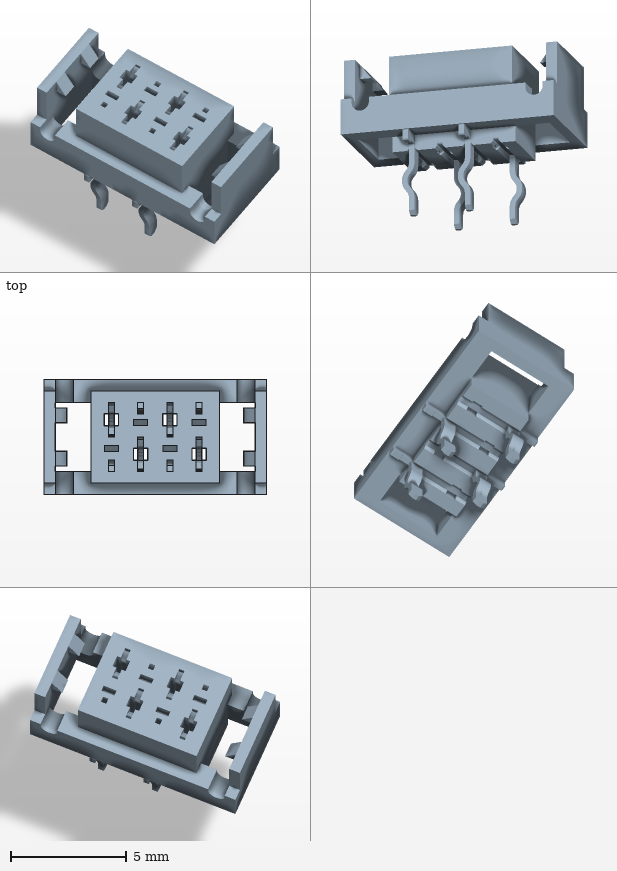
import cadquery as cq
import math

column_pitch = 1.27
column_count = 4

housing_length = 9.68
base_width = 5.0
base_height = 1.6
housing_top = 3.5
tower_length = 5.595
tower_width = 3.99
arm_thickness = 0.5
foot_block_width = 2.99
foot_block_depth = 0.7

relief_width = 0.78
relief_floor = 1.01
relief_radius = relief_width / 2

hook_reach = 0.5
hook_height = 0.66
hook_width = 0.65
hook_center_y = 0.94

entry_length = 0.61
entry_width = 0.5
dummy_width = 0.25
dummy_depth = 0.5
dummy_center_y = 0.5
turned_dummy_center_y = 0.63
slot_mouth_chamfer = 0.12

plate_thickness = 0.25
plate_end = foot_block_width / 2
strip_depth = 0.5
strip_end_fillet = 0.09

fork_center = plate_end / 2
fork_gap = 0.74
fork_floor = 0.97
fork_floor_fillet = 0.29
fork_lip_gap = 0.53
fork_lip_height = 0.29
fork_mouth = 0.66
fork_lead_in_drop = 0.34
fork_tip_width = 0.11
fork_tip_drop = 0.83

leg_width = 0.5
leg_tip_width = leg_width / 2
leg_tip_drop = 0.94

foot_length = 0.46
foot_top_fillet = 0.09
notch_depth = 0.09
notch_fillet = 0.05

tail_center_y = 1.26
tail_width = 0.57
tail_tip_chamfer = 0.18
tail_bottom = 3.59
wave_top = 1.26
wave_half_height = 0.79
wave_bulge = 0.32


def box(x_range, y_range, z_range):
    """Box between the given limits along each axis."""
    (x0, x1), (y0, y1), (z0, z1) = x_range, y_range, z_range
    return cq.Workplane("XY").box(x1 - x0, y1 - y0, z1 - z0, centered=False).translate((x0, y0, z0))


def centered_box(length, width, z_range):
    """Box centred on the Z axis."""
    return box((-length / 2, length / 2), (-width / 2, width / 2), z_range)


def column_placements():
    """X position and rotation of each contact; every second one is turned half round."""
    first_x = -column_pitch * (column_count - 1) / 2
    return [(first_x + i * column_pitch, 180 * (i % 2)) for i in range(column_count)]


def place(shape, x, turn):
    """Turn a shape about the Z axis and move it to its column."""
    return shape.rotate((0, 0, 0), (0, 0, 1), turn).translate((x, 0, 0))


def latch_hook(side, y):
    """Wedge on the inner face of an arm, with its catch facing down."""
    root = side * (housing_length / 2 - arm_thickness)
    return (
        cq.Workplane("XZ", origin=(0, y + hook_width / 2, 0))
        .moveTo(root, housing_top)
        .lineTo(root - side * hook_reach, housing_top - hook_height)
        .lineTo(root, housing_top - hook_height)
        .close()
        .extrude(hook_width)
    )


def relief_slot(side):
    """Round-bottomed slot across the base beside an arm."""
    center_x = side * (housing_length / 2 - arm_thickness - relief_radius)
    center_z = relief_floor + relief_radius
    return (
        cq.Workplane("XZ", origin=(center_x, base_width / 2, 0))
        .moveTo(-relief_radius, base_height)
        .lineTo(-relief_radius, center_z)
        .threePointArc((0, relief_floor), (relief_radius, center_z))
        .lineTo(relief_radius, base_height)
        .close()
        .extrude(base_width)
    )


def contact_cavity(pocket_center_y):
    """Space cut for one contact: plate slots, blade entry, blind pocket and bottom slot."""
    half_plate = plate_thickness / 2
    plate_x = (-half_plate, half_plate)
    fork_slot = box(plate_x, (0, plate_end), (0, housing_top))
    leg_slot = box(plate_x, (-plate_end, leg_width - plate_end), (0, housing_top))
    blade_entry = centered_box(entry_length, entry_width, (-foot_block_depth, housing_top))
    dummy_pocket = centered_box(entry_length, dummy_width, (housing_top - dummy_depth, housing_top))
    half_mouth = half_plate + slot_mouth_chamfer
    bottom_slot = (
        cq.Workplane("XZ", origin=(0, foot_block_width / 2, 0))
        .moveTo(-half_plate, 0)
        .lineTo(-half_plate, slot_mouth_chamfer - foot_block_depth)
        .lineTo(-half_mouth, -foot_block_depth)
        .lineTo(half_mouth, -foot_block_depth)
        .lineTo(half_plate, slot_mouth_chamfer - foot_block_depth)
        .lineTo(half_plate, 0)
        .close()
        .extrude(foot_block_width)
    )
    return (
        fork_slot.union(leg_slot)
        .union(blade_entry.translate((0, fork_center, 0)))
        .union(dummy_pocket.translate((0, -pocket_center_y, 0)))
        .union(bottom_slot)
    )


def make_housing():
    """Base frame with a central tower and two latch arms, cut out for the contacts."""
    arm_inner_x = housing_length / 2 - arm_thickness
    body = centered_box(housing_length, base_width, (0, base_height))
    body = body.cut(centered_box(2 * arm_inner_x, foot_block_width, (0, base_height)))
    for side in (-1, 1):
        body = body.cut(relief_slot(side))
    body = body.union(centered_box(tower_length, tower_width, (0, housing_top)))
    body = body.union(centered_box(tower_length, foot_block_width, (-foot_block_depth, 0)))
    arm = centered_box(arm_thickness, tower_width, (0, housing_top))
    for side in (-1, 1):
        body = body.union(arm.translate((side * (arm_inner_x + arm_thickness / 2), 0, 0)))
        for y in (-hook_center_y, hook_center_y):
            body = body.union(latch_hook(side, y))
    for x, turn in column_placements():
        pocket_center_y = turned_dummy_center_y if turn else dummy_center_y
        body = body.cut(place(contact_cavity(pocket_center_y), x, turn))
    return body


def plate(sketch):
    """Thicken a closed YZ outline to the plate thickness, centred on X = 0."""
    return sketch.close().extrude(plate_thickness / 2, both=True)


def fork():
    """Two-armed fork with a rounded gap, sloping lead-ins and pointed tips."""
    blank = plate(
        cq.Workplane("YZ")
        .moveTo(0, -strip_depth)
        .lineTo(plate_end, -strip_depth)
        .lineTo(plate_end, housing_top - fork_tip_drop)
        .lineTo(plate_end - fork_tip_width, housing_top)
        .lineTo(fork_tip_width, housing_top)
        .lineTo(0, housing_top - fork_tip_drop)
    )
    blank = blank.faces(">Y").edges("<Z").fillet(strip_end_fillet)
    half_gap = fork_gap / 2
    half_lip_gap = fork_lip_gap / 2
    half_mouth = fork_mouth / 2
    half_opening = plate_end / 2 - fork_tip_width
    lip_top = housing_top - fork_lead_in_drop
    lip_middle = lip_top - fork_lip_height / 2
    lip_bottom = lip_top - fork_lip_height
    gap = plate(
        cq.Workplane("YZ", origin=(0, fork_center, 0))
        .moveTo(-half_gap, fork_floor)
        .lineTo(half_gap, fork_floor)
        .lineTo(half_gap, lip_bottom)
        .threePointArc((half_lip_gap, lip_middle), (half_mouth, lip_top))
        .lineTo(half_opening, housing_top)
        .lineTo(-half_opening, housing_top)
        .lineTo(-half_mouth, lip_top)
        .threePointArc((-half_lip_gap, lip_middle), (-half_gap, lip_bottom))
    )
    gap = gap.faces("<Z").edges("|X").fillet(fork_floor_fillet)
    return blank.cut(gap)


def foot_and_leg():
    """Strip with the retaining leg above it and the standoff foot at its outer end."""
    leg_inner = leg_width - plate_end
    foot_end = -base_width / 2
    body = plate(
        cq.Workplane("YZ")
        .moveTo(0, 0)
        .lineTo(leg_inner, 0)
        .lineTo(leg_inner, housing_top - leg_tip_drop)
        .lineTo(leg_tip_width - plate_end, housing_top)
        .lineTo(-plate_end, housing_top)
        .lineTo(-plate_end, 0)
        .lineTo(foot_end, 0)
        .lineTo(foot_end, -strip_depth)
        .lineTo(0, -strip_depth)
    )
    body = body.faces("<Y").edges(">Z").fillet(foot_top_fillet)
    body = body.faces("<Y").edges("<Z").fillet(strip_end_fillet)
    half_plate = plate_thickness / 2
    notch_y = (foot_end + foot_length, -tail_center_y - tail_width / 2)
    notch = box((-half_plate, half_plate), notch_y, (-strip_depth, notch_depth - strip_depth))
    return body.cut(notch.faces(">Z").edges("|X").fillet(notch_fillet))


def wave_outline():
    """XZ outline of the tail: straight, bulging to -X through three tangent arcs, straight."""
    bend_angle = 2 * math.atan(wave_bulge / wave_half_height)
    radius = wave_half_height / 2 / math.sin(bend_angle)
    middle_z = -wave_top - wave_half_height

    def upper_arc(offset, angle):
        reach = radius + offset
        return (reach * math.cos(angle) - radius, -wave_top - reach * math.sin(angle))

    def lower_arc(offset, angle):
        x, z = upper_arc(offset, angle)
        return (x, 2 * middle_z - z)

    half = plate_thickness / 2
    return (
        cq.Workplane("XZ")
        .moveTo(half, -strip_depth)
        .lineTo(*upper_arc(half, 0))
        .threePointArc(upper_arc(half, bend_angle / 2), upper_arc(half, bend_angle))
        .threePointArc((half - wave_bulge, middle_z), lower_arc(half, bend_angle))
        .threePointArc(lower_arc(half, bend_angle / 2), lower_arc(half, 0))
        .lineTo(half, -tail_bottom)
        .lineTo(-half, -tail_bottom)
        .lineTo(*lower_arc(-half, 0))
        .threePointArc(lower_arc(-half, bend_angle / 2), lower_arc(-half, bend_angle))
        .threePointArc((-half - wave_bulge, middle_z), upper_arc(-half, bend_angle))
        .threePointArc(upper_arc(-half, bend_angle / 2), upper_arc(-half, 0))
        .lineTo(-half, -strip_depth)
        .close()
    )


def tail():
    """Wavy solder tail with a chamfered tip."""
    body = wave_outline().extrude(tail_width / 2, both=True)
    body = body.faces("<Z").edges("|X").chamfer(tail_tip_chamfer)
    return body.translate((0, -tail_center_y, 0))


def make_contact():
    """One contact in the column at X = 0, its fork at +Y and its tail at -Y."""
    return fork().union(foot_and_leg()).union(tail())


housing = make_housing()
contact = make_contact()
contacts = [place(contact, x, turn) for x, turn in column_placements()]

result = cq.Compound.makeCompound([housing.val(), *[placed.val() for placed in contacts]])